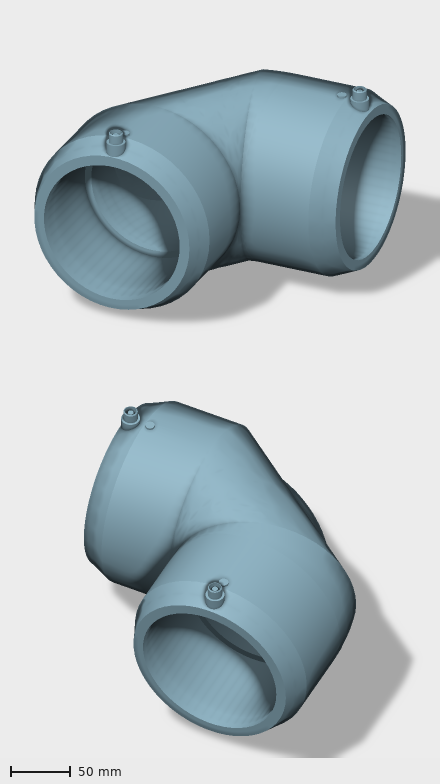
import cadquery as cq
import math

overall_length = 244.5
outer_diameter = 161.0
bore_diameter = 113.0
socket_diameter = 125.0
taper_length = 21.0
taper_inset = 9.0

curved_angle = 15.0
bend_angle = 90.0
minimum_wall = 1.2
leg_gap = 0.2

x_terminal_end_distance = 10.0
y_terminal_end_distance = 8.3
terminal_total_height = 10.5
collar_diameter = 16.0
collar_height = 1.7
shroud_diameter = 12.0
shroud_bore_diameter = 10.0
shroud_bore_depth = 7.3
shroud_chamfer = 0.7
contact_diameter = 5.0
contact_recess = 2.0
indicator_end_distance = 26.5
indicator_diameter = 8.0

outer_radius = outer_diameter / 2
bore_radius = bore_diameter / 2
bend_radius = outer_radius + leg_gap
pivot = cq.Vector(bend_radius, -bend_radius, 0)
leg_start = bend_radius
leg_end = overall_length - outer_radius
collar_top = outer_radius + collar_height
terminal_top = outer_radius + terminal_total_height
indicator_x = leg_end - indicator_end_distance
post_base = (bore_radius + outer_radius) / 2


def bend_section(angle):
    """Section plane through the pivot, turned by angle from the +X leg."""
    turn = math.radians(angle)
    outward = cq.Vector(-math.sin(turn), math.cos(turn), 0)
    normal = cq.Vector(-math.cos(turn), -math.sin(turn), 0)
    return cq.Plane(pivot + outward * bend_radius, outward, normal)


def curved_bend(radius, angle):
    """Round bar bent about the vertical line through the pivot."""
    return (
        cq.Workplane(bend_section(0))
        .circle(radius)
        .revolve(angle, (-bend_radius, 2.5, 0), (-bend_radius, 0, 0))
    )


def slanted_bend(radius):
    """Straight stretch joining the end of the curved stretch to the -Y leg."""
    sections = [
        cq.Wire.makeCircle(radius, bend_section(angle).origin, bend_section(angle).zDir)
        for angle in (curved_angle, bend_angle)
    ]
    return cq.Workplane(cq.Solid.makeLoft(sections, True))


def post(x, diameter, bottom, top):
    """Vertical round post above the axis of the +X leg."""
    return (
        cq.Workplane("XY", origin=(x, 0, bottom))
        .circle(diameter / 2)
        .extrude(top - bottom)
    )


def bar_along_x(diameter, start, end):
    return cq.Workplane("YZ", origin=(start, 0, 0)).circle(diameter / 2).extrude(end - start)


def leg_body():
    """Tapered +X leg before boring."""
    return (
        cq.Workplane("XY")
        .moveTo(leg_start, 0)
        .lineTo(leg_start, outer_radius)
        .lineTo(leg_end - taper_length, outer_radius)
        .lineTo(leg_end, outer_radius - taper_inset)
        .lineTo(leg_end, 0)
        .close()
        .revolve(360, (0, 0, 0), (1, 0, 0))
    )


def terminal(end_distance):
    """Collared shroud with a contact pin standing in its blind bore."""
    terminal_x = leg_end - end_distance
    bore_floor = terminal_top - shroud_bore_depth
    collar = post(terminal_x, collar_diameter, post_base, collar_top)
    shroud = post(terminal_x, shroud_diameter, post_base, terminal_top)
    shroud = shroud.faces(">Z").edges().chamfer(shroud_chamfer)
    shroud_bore = post(terminal_x, shroud_bore_diameter, bore_floor, terminal_top)
    contact = post(terminal_x, contact_diameter, post_base, terminal_top - contact_recess)
    return collar.union(shroud).cut(shroud_bore).union(contact)


def finished_leg(terminal_end_distance):
    """Leg along +X with a socket over its full length, a terminal and an indicator."""
    socket = bar_along_x(socket_diameter, leg_start, leg_end)
    indicator = post(indicator_x, indicator_diameter, post_base, collar_top)
    return leg_body().union(terminal(terminal_end_distance)).union(indicator).cut(socket)


def bend():
    """Hollow bend whose slanted wall carries a bulge concentric with the bore."""
    curved = curved_bend(outer_radius, curved_angle)
    passage = curved_bend(bore_radius, bend_angle)
    body = curved.union(slanted_bend(outer_radius)).union(passage)

    curved_passage = curved_bend(bore_radius, curved_angle)
    slanted_passage = passage.intersect(slanted_bend(outer_radius - minimum_wall))
    return body.cut(curved_passage).cut(slanted_passage)


x_leg = finished_leg(x_terminal_end_distance)
y_leg = finished_leg(y_terminal_end_distance).rotate((0, 0, 0), (0, 0, 1), -bend_angle)
result = bend().union(x_leg).union(y_leg)